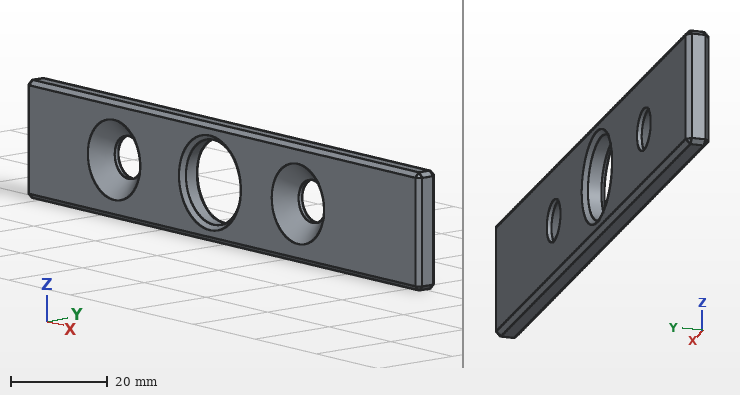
import cadquery as cq

length = 127.5
thickness = 5.0
height = 25.0
edge_chamfer = 1.0

center_hole_x = -4.0
center_hole_diameter = 18.0
center_hole_chamfer = 1.0

screw_midpoint_x = -5.2
screw_spacing = 59.7
screw_hole_diameter = 9.0
countersink_diameter = 17.0

cone_angle = 90.0


def countersunk_hole(body, face, x, hole_diameter, sink_diameter):
    """Drill through along Y with a countersink on the chosen face."""
    return (
        body.faces(face)
        .workplane(origin=(x, 0, 0))
        .cskHole(hole_diameter, sink_diameter, cone_angle)
    )


plate = cq.Workplane("XY").box(length, thickness, height).edges().chamfer(edge_chamfer)

center_rim_diameter = center_hole_diameter + 2 * center_hole_chamfer
for face in ("<Y", ">Y"):
    plate = countersunk_hole(plate, face, center_hole_x, center_hole_diameter, center_rim_diameter)

for side in (-1, 1):
    screw_x = screw_midpoint_x + side * screw_spacing / 2
    plate = countersunk_hole(plate, "<Y", screw_x, screw_hole_diameter, countersink_diameter)

result = plate